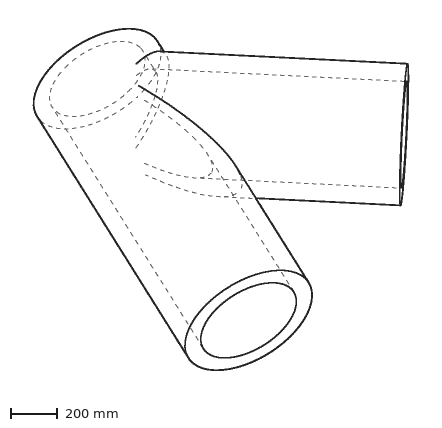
import cadquery as cq
import math

outer_diameter = 610.0
bore_diameter = 458.0
run_length = 1460.0
run_start_to_crossing = 254.0
branch_angle = 60.0
overall_width = 1502.0

outer_radius = outer_diameter / 2
branch_radians = math.radians(branch_angle)

branch_tip_y = overall_width - outer_radius
branch_length = (branch_tip_y - outer_radius * math.cos(branch_radians)) / math.sin(branch_radians)

bore_overrun = 75.0

run_direction = cq.Vector(1, 0, 0)
crossing = cq.Vector(0, 0, 0)
branch_direction = cq.Vector(math.cos(branch_radians), math.sin(branch_radians), 0)


def run_cylinder(diameter, overrun=0.0):
    """Return a cylinder along the run, lengthened by the overrun at each end."""
    start = cq.Vector(-run_start_to_crossing - overrun, 0, 0)
    length = run_length + 2 * overrun
    return cq.Workplane(cq.Solid.makeCylinder(diameter / 2, length, start, run_direction))


def branch_cylinder(diameter):
    """Return a cylinder along the branch, from the axis crossing to the branch end."""
    return cq.Workplane(cq.Solid.makeCylinder(diameter / 2, branch_length, crossing, branch_direction))


outer_body = run_cylinder(outer_diameter).union(branch_cylinder(outer_diameter))
bores = run_cylinder(bore_diameter, bore_overrun).union(branch_cylinder(bore_diameter))
result = outer_body.cut(bores)